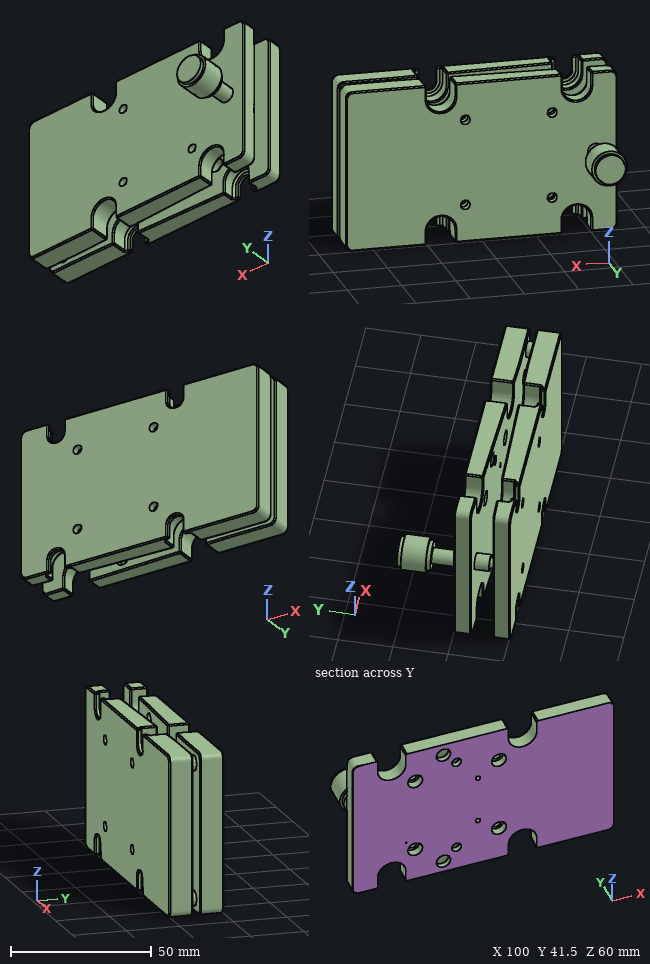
import cadquery as cq

plate_length = 100.0
plate_height = 60.0
plate_thickness = 9.0
plate_gap = 2.5
corner_radius = 2.5
edge_chamfer = 0.5
taper_start_x = 30.0
taper_depth = 2.7

half_length = plate_length / 2
half_height = plate_height / 2
mid_y = plate_thickness + plate_gap / 2
back_y = 2 * mid_y

pattern_x = -10.0
slot_spacing = 50.0
slot_width = 6.6
slot_head_width = 10.6
slot_floor = 1.7
slot_floor_bevel = 0.8
hole_spacing = 32.0
hole_diameter = 3.4
counterbore_diameter = 5.4
counterbore_floor = 3.0

slot_xs = [pattern_x - slot_spacing / 2, pattern_x + slot_spacing / 2]
hole_xs = [pattern_x - hole_spacing / 2, pattern_x + hole_spacing / 2]

blind_holes = [(-15.2, 25.0, 5.2), (-10.2, 20.0, 3.4), (-2.0, 10.0, 1.6)]
blind_hole_depth = 5.0

ball_diameter = 6.0
ball_x = 43.2
pin_diameter = 5.3
pin_x = pattern_x + 1.5 * hole_spacing
pin_embedding = 1.0

screw_x = -42.0
screw_diameter = 6.0
screw_start_y = 8.7
tip_diameter = 4.0
tip_center_y = 8.4
knob_start_y = 29.5
knob_diameter = 13.0
knob_grip_length = 9.0
knob_lip_diameter = 11.0
knob_lip_length = 1.5

tolerance = 0.01
facing_limit = 0.9
sides = (1, -1)


def rod(x, z, diameter, start_y, length):
    """Cylinder along +Y."""
    start = cq.Vector(x, start_y, z)
    return cq.Workplane(cq.Solid.makeCylinder(diameter / 2, length, start, cq.Vector(0, 1, 0)))


def ball(x, y, z, diameter):
    return cq.Workplane().sphere(diameter / 2).translate((x, y, z))


def slot_cutter(x, side, width, start_y):
    """Round-ended slot open at the top (side = 1) or bottom (side = -1) edge."""
    end_z = side * slot_spacing / 2
    open_length = half_height
    channel = cq.Workplane().box(width, plate_thickness, open_length, centered=(True, False, True))
    channel = channel.translate((x, start_y, end_z + side * open_length / 2))
    return rod(x, end_z, width, start_y, plate_thickness).union(channel)


def plain_slot(x, side):
    """Wide slot through the whole plate."""
    return slot_cutter(x, side, slot_head_width, 0)


def stepped_slot(x, side):
    """Narrow slot with a wide, bevel-floored recess for a screw head on the inner side."""
    head = slot_cutter(x, side, slot_head_width, slot_floor)
    head = head.faces("<Y").chamfer(slot_floor_bevel)
    return head.union(slot_cutter(x, side, slot_width, 0))


def plate_blank():
    """Rounded plate with its outer face at y = 0 and its inner face falling away toward -X."""
    profile = [
        (-half_length, 0),
        (half_length, 0),
        (half_length, plate_thickness),
        (taper_start_x, plate_thickness),
        (-half_length, plate_thickness - taper_depth),
    ]
    wedge = cq.Workplane("XY").polyline(profile).close().extrude(half_height, both=True)
    outline = cq.Workplane().box(plate_length, 2 * plate_thickness, plate_height)
    return wedge.intersect(outline.edges("|Y").fillet(corner_radius))


def is_inner_face(face):
    """True for the flat and tapered faces that look into the gap, not for slot floors."""
    return face.normalAt().y > facing_limit and face.Center().y > slot_floor + tolerance


def rim_edges(body):
    """Edges of the broad, top and bottom faces, without the corner joins and the taper line."""
    faces = body.faces("<Y").vals() + body.faces("<Z").vals() + body.faces(">Z").vals()
    faces += [face for face in body.faces().vals() if is_inner_face(face)]
    edges = []
    for face in faces:
        for edge in face.Edges():
            x = edge.Center().x
            constant_x = edge.BoundingBox().xlen < tolerance
            on_taper_line = abs(x - taper_start_x) < tolerance
            on_corner_join = abs(abs(x) - half_length + corner_radius) < tolerance
            smooth = constant_x and (on_taper_line or on_corner_join)
            repeated = any(edge.isSame(other) for other in edges)
            if not smooth and not repeated:
                edges.append(edge)
    return body.newObject(edges)


def make_plate(slot):
    """Plate with the given kind of slot and the four counterbored holes."""
    body = plate_blank()
    for x in slot_xs:
        for side in sides:
            body = body.cut(slot(x, side))
    body = rim_edges(body).chamfer(edge_chamfer)
    for x in hole_xs:
        for side in sides:
            z = side * hole_spacing / 2
            body = body.cut(rod(x, z, hole_diameter, 0, plate_thickness))
            body = body.cut(rod(x, z, counterbore_diameter, counterbore_floor, plate_thickness))
    return body


def make_back_plate():
    body = make_plate(plain_slot).mirror("XZ").translate((0, back_y, 0))
    cut_length = plate_gap / 2 + blind_hole_depth
    for x, z, diameter in blind_holes:
        for side in sides:
            body = body.cut(rod(x, side * z, diameter, mid_y, cut_length))
    return body


def make_screw():
    knob_length = knob_grip_length + 2 * knob_lip_length
    grip_start_y = knob_start_y + knob_lip_length
    shank = rod(screw_x, 0, screw_diameter, screw_start_y, knob_start_y - screw_start_y)
    lips = rod(screw_x, 0, knob_lip_diameter, knob_start_y, knob_length)
    grip = rod(screw_x, 0, knob_diameter, grip_start_y, knob_grip_length)
    tip = ball(screw_x, tip_center_y, 0, tip_diameter)
    return shank.union(tip).union(lips).union(grip)


result = make_plate(stepped_slot).union(make_back_plate())
for side in sides:
    pin_start_y = plate_thickness - pin_embedding
    pin_length = plate_gap + 2 * pin_embedding
    result = result.union(ball(ball_x, mid_y, side * slot_spacing / 2, ball_diameter))
    result = result.union(rod(pin_x, side * hole_spacing / 2, pin_diameter, pin_start_y, pin_length))
result = result.union(make_screw())